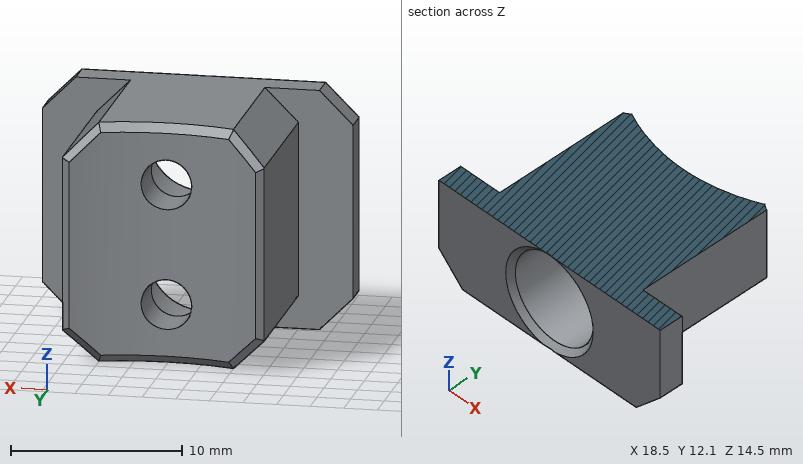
import cadquery as cq

flange_width = 18.5
flange_thickness = 1.8
height = 14.5
corner_chamfer = 2.0

body_width = 12.0
saddle_radius = 13.0
saddle_bottom_y = 10.9
saddle_edge_chamfer = 0.5

hole_diameter = 3.0
counterbore_diameter = 6.5
counterbore_depth = 8.0
counterbore_chamfer = 0.4
hole_spacing = height / 2

body_blank_length = saddle_bottom_y + saddle_radius / 2


def chamfered_block(width, length):
    """Block from Y = 0 towards +Y with its four long edges chamfered."""
    return (
        cq.Workplane("XZ")
        .rect(width, height)
        .extrude(-length)
        .edges("|Y")
        .chamfer(corner_chamfer)
    )


def saddle_body():
    """Body with the saddle cut into its far end and the saddle rim chamfered."""
    saddle_cylinder = (
        cq.Workplane("XY")
        .center(0, saddle_bottom_y + saddle_radius)
        .circle(saddle_radius)
        .extrude(height, both=True)
    )
    body = chamfered_block(body_width, body_blank_length).cut(saddle_cylinder)
    return body.faces("%CYLINDER").edges().chamfer(saddle_edge_chamfer)


def counterbored_hole(z):
    """Cutting tool: through hole, counterbore and entry chamfer along +Y."""
    through_radius = hole_diameter / 2
    bore_radius = counterbore_diameter / 2
    half_profile = (
        cq.Workplane("XY")
        .moveTo(0, 0)
        .lineTo(bore_radius + counterbore_chamfer, 0)
        .lineTo(bore_radius, counterbore_chamfer)
        .lineTo(bore_radius, counterbore_depth)
        .lineTo(through_radius, counterbore_depth)
        .lineTo(through_radius, body_blank_length)
        .lineTo(0, body_blank_length)
        .close()
    )
    return half_profile.revolve(360, (0, 0), (0, 1)).translate((0, 0, z))


result = chamfered_block(flange_width, flange_thickness).union(saddle_body())

for hole_z in (-hole_spacing / 2, hole_spacing / 2):
    result = result.cut(counterbored_hole(hole_z))